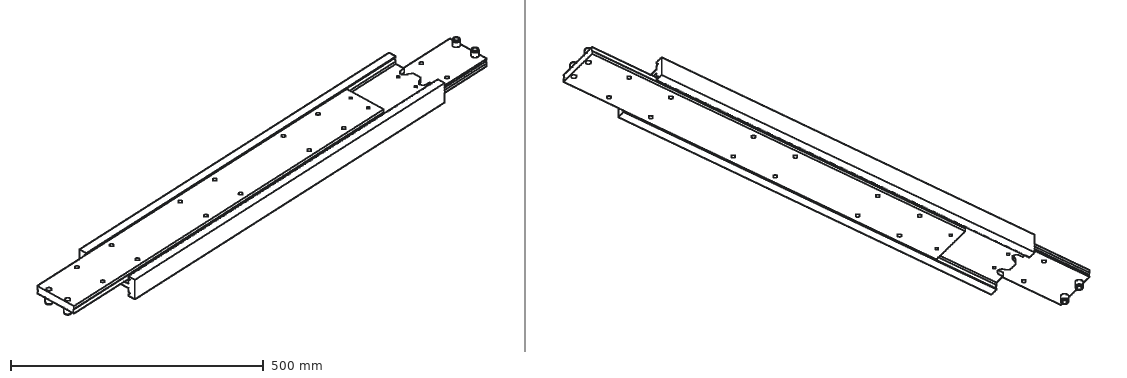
import cadquery as cq

total_length = 1200.0
member_length = 900.0
total_height = 55.0
end_y = total_length / 2
slide_shift = (total_length - member_length) / 2

rail_half_width = 150.0 / 2
rail_half_height = 24.0
web_half_thickness = 5.4
flange_inner_x = 56.0
rail_groove_depth = 5.0
rail_groove_half_height = 5.0
raceway_z = 17.0

slide_half_width = 100.0 / 2
slide_top_z = total_height / 2
slide_bottom_z = 9.0
slide_groove_depth = 2.0
slide_groove_top_z = 20.0

post_x = 25.0
post_radius = 8.0
post_y = post_radius - end_y
post_tip_z = -6.0
screw_hole_radius = 5.4
tip_taper_height = 3.0
tip_taper_inset = 1.0
tip_cone_radius = 5.0
tip_cone_height = 4.0

notch_radius = 9.0
notch_depth = 18.0
notch_flare = 6.0

mount_hole_diameter = 8.0
mount_hole_x = 35.0
mount_pair_pitch = member_length / 3
mount_pair_half_gap = 50.0
pin_hole_diameter = 6.0
pin_hole_x = 24.0
slide_pin_hole_from_end = 17.0
rail_pin_hole_from_end = 29.0


def extrude_along_y(outline, center_y):
    """Extrude a closed XZ outline over one member length, centred at center_y."""
    return (
        cq.Workplane("XZ", origin=(0, center_y + member_length / 2, 0))
        .polyline(outline)
        .close()
        .extrude(member_length)
    )


def drill(body, points, diameter):
    """Drill vertical holes right through the body."""
    cutters = (
        cq.Workplane("XY", origin=(0, 0, -total_height))
        .pushPoints(points)
        .circle(diameter / 2)
        .extrude(2 * total_height)
    )
    return body.cut(cutters)


def make_notch(side):
    """Notch at the +Y end of the web: round bottom, flared towards the middle."""
    rail_end = member_length / 2
    center_y = rail_end - notch_depth + notch_radius
    outer_x = post_x + notch_radius
    inner_x = post_x - notch_radius
    return (
        cq.Workplane("XY", origin=(0, 0, -web_half_thickness))
        .moveTo(side * outer_x, rail_end)
        .lineTo(side * outer_x, center_y)
        .threePointArc(
            (side * post_x, center_y - notch_radius),
            (side * inner_x, center_y),
        )
        .lineTo(side * (inner_x - notch_flare), rail_end)
        .close()
        .extrude(2 * web_half_thickness)
    )


def make_rail():
    quarter = [
        (flange_inner_x, web_half_thickness),
        (flange_inner_x, raceway_z - rail_groove_half_height),
        (flange_inner_x + rail_groove_depth, raceway_z),
        (flange_inner_x, raceway_z + rail_groove_half_height),
        (flange_inner_x, rail_half_height),
        (rail_half_width, rail_half_height),
    ]
    right_half = quarter + [(x, -z) for x, z in reversed(quarter)]
    left_half = [(-x, -z) for x, z in right_half]
    rail = extrude_along_y(right_half + left_half, 0)
    for side in (-1, 1):
        notch = make_notch(side)
        rail = rail.cut(notch).cut(notch.mirror("XZ"))
    pin_hole_y = member_length / 2 - rail_pin_hole_from_end
    points = [(x, y) for x in (-pin_hole_x, pin_hole_x) for y in (-pin_hole_y, pin_hole_y)]
    return drill(rail, points, pin_hole_diameter)


def make_post(x):
    """Round stop post below the slide, with a slightly tapered tip and a conical recess in it."""
    post = (
        cq.Workplane("XY", origin=(x, post_y, post_tip_z))
        .circle(post_radius)
        .extrude(slide_bottom_z - post_tip_z)
        .faces("<Z")
        .chamfer(tip_taper_height, tip_taper_inset)
    )
    recess = cq.Solid.makeCone(
        tip_cone_radius,
        0,
        tip_cone_height,
        pnt=cq.Vector(x, post_y, post_tip_z),
    )
    return post.cut(cq.Workplane(recess))


def make_screw_hole(x):
    """Cutter for the hole through the slide bar that ends on top of a post."""
    return (
        cq.Workplane("XY", origin=(x, post_y, slide_bottom_z))
        .circle(screw_hole_radius)
        .extrude(slide_top_z - slide_bottom_z)
    )


def make_upper_slide():
    right_side = [
        (slide_half_width, slide_bottom_z),
        (slide_half_width - slide_groove_depth, raceway_z),
        (slide_half_width, slide_groove_top_z),
        (slide_half_width, slide_top_z),
    ]
    left_side = [(-x, z) for x, z in reversed(right_side)]
    slide = extrude_along_y(right_side + left_side, -slide_shift)
    for x in (-post_x, post_x):
        slide = slide.cut(make_screw_hole(x)).union(make_post(x))
    mount_points = [
        (side * mount_hole_x, -slide_shift + pair * mount_pair_pitch + step * mount_pair_half_gap)
        for side in (-1, 1)
        for pair in (-1, 0, 1)
        for step in (-1, 1)
    ]
    slide = drill(slide, mount_points, mount_hole_diameter)
    pin_y = member_length / 2 - slide_shift - slide_pin_hole_from_end
    pin_points = [(side * pin_hole_x, pin_y) for side in (-1, 1)]
    return drill(slide, pin_points, pin_hole_diameter)


rail = make_rail()
upper_slide = make_upper_slide()
lower_slide = upper_slide.rotate((0, 0, 0), (1, 0, 0), 180)

result = cq.Compound.makeCompound([rail.val(), upper_slide.val(), lower_slide.val()])